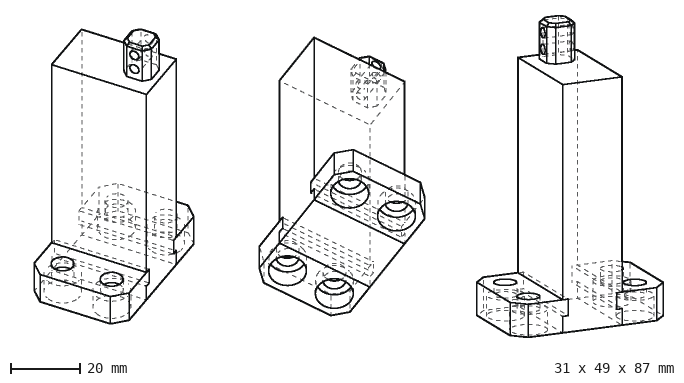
import cadquery as cq

width = 31.0
base_depth = 49.0
total_height = 87.0

block_depth = 19.0
block_height = 75.0

rod_side = 9.0
rod_offset_x = 9.0
rod_corner_chamfer = 2.0
rod_top_chamfer = 1.0
rod_height = total_height - block_height
cross_hole_diameter = 3.0
cross_hole_spacing = 5.0
upper_hole_drop = 3.5

clamp_height = 10.0
lip_bottom = clamp_height / 2
lip_depth = 1.7
clamp_corner_chamfer = 4.0
bolt_hole_diameter = 6.6
counterbore_diameter = 11.0
counterbore_depth = 6.3
bolt_spacing_x = 16.0
bolt_spacing_y = 34.0


def clamp_profile(side):
    """Hook-shaped YZ section of one clamp; side is +1 or -1 along Y."""
    outer = side * base_depth / 2
    face = side * block_depth / 2
    lip = face - side * lip_depth
    return (
        cq.Workplane("YZ")
        .moveTo(outer, 0)
        .lineTo(face, 0)
        .lineTo(face, lip_bottom)
        .lineTo(lip, lip_bottom)
        .lineTo(lip, clamp_height)
        .lineTo(outer, clamp_height)
        .close()
    )


def make_clamp(side):
    """Clamp with two chamfered outer corners and two bolt holes counterbored from below."""
    clamp = clamp_profile(side).extrude(width / 2, both=True)
    outer_side = ">Y" if side > 0 else "<Y"
    clamp = clamp.faces(outer_side).edges("|Z").chamfer(clamp_corner_chamfer)
    bolt_y = side * bolt_spacing_y / 2
    bolt_points = [(x_side * bolt_spacing_x / 2, bolt_y) for x_side in (-1, 1)]
    bolt_centres = cq.Workplane("XY").pushPoints(bolt_points)
    bolt_holes = bolt_centres.circle(bolt_hole_diameter / 2).extrude(clamp_height)
    counterbores = bolt_centres.circle(counterbore_diameter / 2).extrude(counterbore_depth)
    return clamp.cut(bolt_holes).cut(counterbores)


def make_rod():
    """Octagonal rod with a chamfered top and two holes through it along Y."""
    rod = (
        cq.Workplane("XY", origin=(rod_offset_x, 0, block_height))
        .rect(rod_side, rod_side)
        .extrude(rod_height)
        .edges("|Z")
        .chamfer(rod_corner_chamfer)
        .faces(">Z")
        .chamfer(rod_top_chamfer)
    )
    upper_hole_z = total_height - upper_hole_drop
    lower_hole_z = upper_hole_z - cross_hole_spacing
    cross_holes = (
        cq.Workplane("XZ")
        .pushPoints([(rod_offset_x, z) for z in (upper_hole_z, lower_hole_z)])
        .circle(cross_hole_diameter / 2)
        .extrude(rod_side, both=True)
    )
    return rod.cut(cross_holes)


def make_housing():
    """Block with a groove for each clamp lip, and the rod in one piece with it."""
    housing = cq.Workplane("XY").box(width, block_depth, block_height, centered=(True, True, False))
    groove_height = clamp_height - lip_bottom
    groove_y = (block_depth - lip_depth) / 2
    for side in (-1, 1):
        groove = (
            cq.Workplane("XY", origin=(0, side * groove_y, lip_bottom))
            .box(width, lip_depth, groove_height, centered=(True, True, False))
        )
        housing = housing.cut(groove)
    return housing.union(make_rod())


housing = make_housing()
clamps = [make_clamp(side) for side in (-1, 1)]

result = cq.Compound.makeCompound([housing.solids().val(), *[clamp.solids().val() for clamp in clamps]])